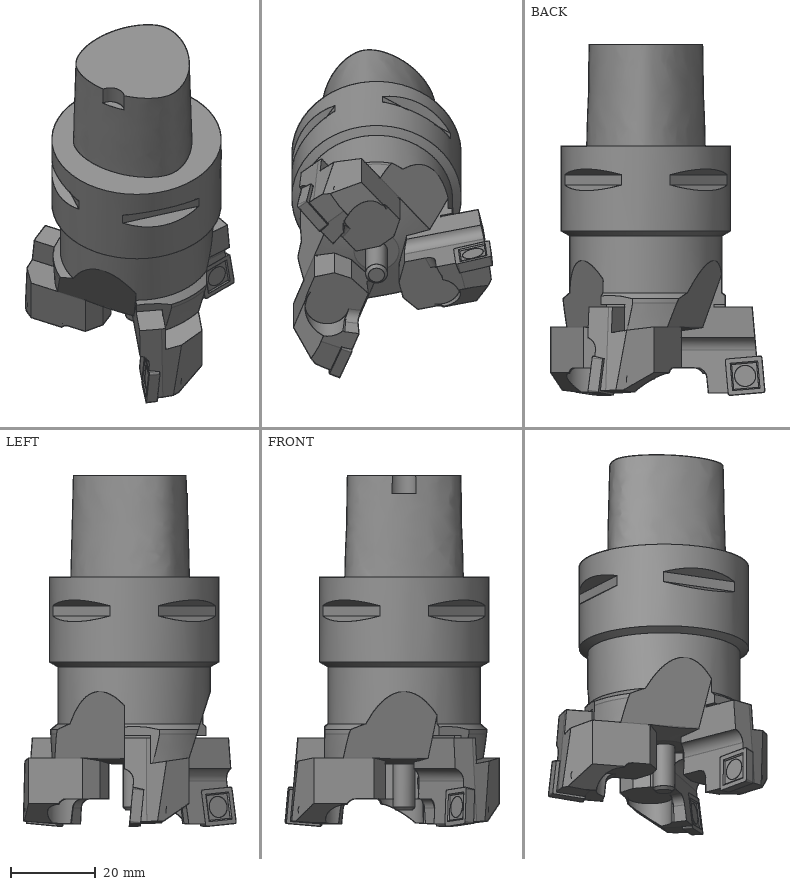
import cadquery as cq
import math


TOOTH_ANGLES = (63.0, 180.0, 303.0)

SHANK_LENGTH = 24.0
SHANK_MEAN_RADIUS = 14.0
LOBE_HEIGHT = 0.93
SHANK_TAPER = 1.0 / 40.0
LOBE_DIRECTION = 90.0
SHANK_CURVE_POINTS = 48
KEY_RADIUS = 3.3
KEY_HEIGHT = 4.3
KEY_AXIS_Y = -14.1

FLANGE_RADIUS = 20.0
FLANGE_LENGTH = 20.0
FLANGE_CONE_HEIGHT = 1.15
NECK_RADIUS = 18.0
HEAD_RADIUS = 19.7
HEAD_LOWER_RADIUS = 19.25
HEAD_CONE_TOP_Z = -34.6
HEAD_CONE_BOTTOM_Z = -36.0
HEAD_TAPER_TOP_Z = -37.0
HEAD_BOTTOM_Z = -44.05
HEAD_FLAT_RADIUS = 5.3
HEAD_DISH_RADIUS = 14.8
HEAD_DISH_Z = -42.65
PIN_RADIUS = 2.6
PIN_BOTTOM_Z = -55.0
PIN_CHAMFER = 0.7

GROOVE_ANGLES = (45.0, 135.0, 225.0, 315.0)
GROOVE_DEPTH = 2.4
GROOVE_MIDDLE_Z = -7.95
GROOVE_FLOOR_WIDTH = 2.4
GROOVE_MOUTH_WIDTH = 5.1

RAKE_Y = -2.3
BACK_Y = 13.0
BACK_CORNER_X = 21.3
FLANK_RUN_PER_RISE = 0.70
INNER_FRONT_X = 7.8
INNER_BACK_X = 7.1
INNER_FLAT_X = 4.4
INNER_FLAT_BACK_Y = 9.0
INNER_FLAT_FRONT_Y = 4.7
TOOTH_TOP_Z = -37.9
SHOULDER_Y = 3.85
SHELF_BACK_Z = HEAD_DISH_Z
SHELF_SLOPE = 0.145
SEAT_X = 18.75
SEAT_TOP_Z = HEAD_CONE_TOP_Z
SEAT_END_Y = 7.0
SLOT_BOTTOM_X = 16.0
SLOT_HEIGHT = 0.5
LEAD_ANGLE = 5.0
LEAD_TOP_X = 25.1
CLEARANCE_ANGLE = 6.6
CLEARANCE_START_Y = 2.9
GULLET_TOP_Z = -27.0
GULLET_RUN = NECK_RADIUS - BACK_Y
HEEL_Z = -53.4
HEEL_START_Y = 6.5
HEEL_START_Z = -57.9
TOOTH_BOTTOM_Z = -58.25
BOTTOM_BEND_X = 20.0
BOTTOM_TILT = 4.3
BOTTOM_RELIEF = 2.0

RELIEF_ROOF_Z = -52.35
RELIEF_START_Z = TOOTH_BOTTOM_Z - 1.0
RELIEF_FILLET = 2.4
RELIEF_DRAFT = 7.0
RELIEF_CENTER = (13.3, 7.5)
RELIEF_RADIUS = 5.2
RELIEF_WALL = (
    (13.7, -6.0), (15.6, 2.2), (14.3, 13.0), (14.3, 18.0),
)

AXIAL_RAKE = 5.5
INSERT_CENTER = (23.4, -0.7, -54.19)
INSERT_SIDE = 8.7
INSERT_THICKNESS = 2.6
INSERT_CLEARANCE = 7.0
INSERT_CORNER_RADIUS = 0.5
RECESS_SIDE = 6.5
RECESS_DEPTH = 0.3
RECESS_TAPER = 45.0
RAKE_FILLET_RADIUS = 3.0
RAKE_FILLET_Z = -48.1

SCREW_HEAD_RADIUS = 5.01 / 2
SCREW_HEAD_HEIGHT = 1.5
SCREW_SHANK_RADIUS = 3.2 / 2
SCREW_LENGTH = 8.0

REACH = 60.0


def turned(shape, angle):
    return shape.rotate((0, 0, 0), (0, 0, 1), angle)


def prism_along_x(points):
    """Extrude a (Y, Z) outline along X, well past the part on both sides."""
    return cq.Workplane("YZ").polyline(points).close().extrude(REACH, both=True)


def prism_along_y(points):
    """Extrude an (X, Z) outline along Y, well past the part on both sides."""
    return cq.Workplane("XZ").polyline(points).close().extrude(REACH, both=True)


def box_between(low, high):
    size = [b - a for a, b in zip(low, high)]
    return cq.Workplane("XY").box(*size, centered=False).translate(low)


def lobed_point(angle, inset):
    """Point of the three-lobed outline whose normal points at the given angle."""
    support = SHANK_MEAN_RADIUS - inset + LOBE_HEIGHT * math.cos(3 * angle)
    slope = -3 * LOBE_HEIGHT * math.sin(3 * angle)
    x = support * math.cos(angle) - slope * math.sin(angle)
    y = support * math.sin(angle) + slope * math.cos(angle)
    return x, y


def lobed_outline(inset):
    steps = range(SHANK_CURVE_POINTS)
    return [lobed_point(2 * math.pi * step / SHANK_CURVE_POINTS, inset) for step in steps]


def make_shank():
    base = lobed_outline(0)
    tip = lobed_outline(SHANK_TAPER * SHANK_LENGTH)
    shank = (
        cq.Workplane("XY").spline(base, periodic=True).close()
        .workplane(offset=SHANK_LENGTH).spline(tip, periodic=True).close()
        .loft(ruled=True)
    )
    key_slot = (
        cq.Workplane("XY", origin=(0, KEY_AXIS_Y, SHANK_LENGTH - KEY_HEIGHT))
        .circle(KEY_RADIUS).extrude(KEY_HEIGHT)
    )
    return turned(shank, LOBE_DIRECTION).cut(key_slot)


def make_turned_body():
    cone_bottom_z = -FLANGE_LENGTH - FLANGE_CONE_HEIGHT
    outline = [
        (0, 0),
        (FLANGE_RADIUS, 0),
        (FLANGE_RADIUS, -FLANGE_LENGTH),
        (NECK_RADIUS, cone_bottom_z),
        (NECK_RADIUS, HEAD_CONE_TOP_Z),
        (HEAD_RADIUS, HEAD_CONE_BOTTOM_Z),
        (HEAD_RADIUS, HEAD_TAPER_TOP_Z),
        (HEAD_LOWER_RADIUS, HEAD_BOTTOM_Z),
        (HEAD_DISH_RADIUS, HEAD_BOTTOM_Z),
        (HEAD_DISH_RADIUS, HEAD_DISH_Z),
        (HEAD_FLAT_RADIUS, HEAD_BOTTOM_Z),
        (PIN_RADIUS, HEAD_BOTTOM_Z),
        (PIN_RADIUS, PIN_BOTTOM_Z + PIN_CHAMFER),
        (PIN_RADIUS - PIN_CHAMFER, PIN_BOTTOM_Z),
        (0, PIN_BOTTOM_Z),
    ]
    return cq.Workplane("XZ").polyline(outline).close().revolve(360, (0, 0, 0), (0, 1, 0))


def make_groove():
    """Gripper groove with sloping sides, cut into the +X side of the flange."""
    floor_x = FLANGE_RADIUS - GROOVE_DEPTH
    outline = [
        (floor_x, GROOVE_MIDDLE_Z - GROOVE_FLOOR_WIDTH / 2),
        (FLANGE_RADIUS, GROOVE_MIDDLE_Z - GROOVE_MOUTH_WIDTH / 2),
        (FLANGE_RADIUS, GROOVE_MIDDLE_Z + GROOVE_MOUTH_WIDTH / 2),
        (floor_x, GROOVE_MIDDLE_Z + GROOVE_FLOOR_WIDTH / 2),
    ]
    return prism_along_y(outline)


def make_gullet(next_tooth_turn):
    """Sloping clearance behind a tooth, ending at the rake plane of the tooth counter-clockwise of it."""
    clearance = prism_along_x([
        (BACK_Y, -REACH),
        (BACK_Y, SHELF_BACK_Z),
        (BACK_Y + GULLET_RUN, GULLET_TOP_Z),
        (REACH, GULLET_TOP_Z),
        (REACH, -REACH),
    ])
    kept = box_between((-REACH, RAKE_Y, -2 * REACH), (REACH, 2 * REACH, REACH))
    return clearance.cut(turned(kept, next_tooth_turn))


def make_seat():
    return box_between((SEAT_X, RAKE_Y, HEAD_BOTTOM_Z), (REACH, SEAT_END_Y, SEAT_TOP_Z))


def make_slot():
    low = (SLOT_BOTTOM_X, RAKE_Y, TOOTH_TOP_Z)
    return box_between(low, (REACH, SHOULDER_Y, TOOTH_TOP_Z + SLOT_HEIGHT))


def make_tooth_blank():
    """Upright block with the plan outline of a tooth; its outer end is left long."""
    outer_x = BACK_CORNER_X + FLANK_RUN_PER_RISE * (BACK_Y - RAKE_Y)
    outline = [
        (INNER_FRONT_X, RAKE_Y),
        (outer_x, RAKE_Y),
        (BACK_CORNER_X, BACK_Y),
        (INNER_BACK_X, BACK_Y),
        (INNER_FLAT_X, INNER_FLAT_BACK_Y),
        (INNER_FLAT_X, INNER_FLAT_FRONT_Y),
    ]
    height = TOOTH_TOP_Z + REACH
    return cq.Workplane("XY", origin=(0, 0, -REACH)).polyline(outline).close().extrude(height)


def make_shelf_cut():
    shelf_front_z = SHELF_BACK_Z - SHELF_SLOPE * (BACK_Y - SHOULDER_Y)
    return prism_along_x([
        (SHOULDER_Y, shelf_front_z), (BACK_Y, SHELF_BACK_Z), (BACK_Y, 0), (SHOULDER_Y, 0),
    ])


def make_outer_cut():
    """Space outside the leaning outer face."""
    bottom_x = LEAD_TOP_X + (TOOTH_TOP_Z + REACH) * math.tan(math.radians(LEAD_ANGLE))
    return prism_along_y([
        (LEAD_TOP_X, TOOTH_TOP_Z), (REACH, TOOTH_TOP_Z), (REACH, -REACH), (bottom_x, -REACH),
    ])


def make_clearance_cut():
    """The outer face swung back behind the cutting edge."""
    pivot = (LEAD_TOP_X, CLEARANCE_START_Y)
    return make_outer_cut().rotate((*pivot, 0), (*pivot, 1), CLEARANCE_ANGLE)


def make_heel_cut():
    return prism_along_x([
        (HEEL_START_Y, HEEL_START_Z), (BACK_Y, HEEL_Z), (BACK_Y, -REACH), (HEEL_START_Y, -REACH),
    ])


def make_bottom_cut():
    rise = (REACH - BOTTOM_BEND_X) * math.tan(math.radians(BOTTOM_TILT))
    below = prism_along_y([
        (0, TOOTH_BOTTOM_Z),
        (BOTTOM_BEND_X, TOOTH_BOTTOM_Z),
        (REACH, TOOTH_BOTTOM_Z + rise),
        (REACH, -2 * REACH),
        (0, -2 * REACH),
    ])
    return below.rotate((0, 0, TOOTH_BOTTOM_Z), (1, 0, TOOTH_BOTTOM_Z), BOTTOM_RELIEF)


def make_relief():
    """Space under the inner end of the tooth: a milled round pocket open towards the axis."""
    depth = RELIEF_ROOF_Z - RELIEF_START_Z
    floor = cq.Workplane("XY", origin=(0, 0, RELIEF_START_Z))
    pocket = floor.center(*RELIEF_CENTER).circle(RELIEF_RADIUS).extrude(depth)
    inner_outline = [(-REACH, RELIEF_WALL[0][1]), *RELIEF_WALL, (-REACH, RELIEF_WALL[-1][1])]
    inner = floor.polyline(inner_outline).close().extrude(depth, taper=RELIEF_DRAFT)
    return inner.faces(">Z").edges().fillet(RELIEF_FILLET).union(pocket)


def rake_y(z):
    """Y of the inclined rake face at a given height."""
    _, center_y, center_z = INSERT_CENTER
    return center_y - (center_z - z) * math.tan(math.radians(AXIAL_RAKE))


def make_rake_cut():
    """Chip space ahead of the rake face, with a round root above it."""
    root_y = rake_y(RAKE_FILLET_Z)
    axis_y = root_y - RAKE_FILLET_RADIUS
    outline = (
        cq.Workplane("YZ")
        .moveTo(rake_y(-REACH), -REACH)
        .lineTo(root_y, RAKE_FILLET_Z)
        .radiusArc((axis_y, RAKE_FILLET_Z + RAKE_FILLET_RADIUS), -RAKE_FILLET_RADIUS)
        .lineTo(axis_y, -REACH)
        .close()
    )
    return outline.extrude(REACH)


def make_tooth():
    tooth = make_tooth_blank()
    cuts = (
        make_shelf_cut(), make_outer_cut(), make_clearance_cut(), make_heel_cut(),
        make_bottom_cut(), make_relief(), make_rake_cut(),
    )
    for cut in cuts:
        tooth = tooth.cut(cut)
    return tooth


def insert_plane(depth=0):
    """Plane on the rake face, normal out of the face; depth moves it into the insert."""
    rake = math.radians(AXIAL_RAKE)
    lead = math.radians(LEAD_ANGLE)
    across = cq.Vector(1, 0, 0)
    up = cq.Vector(0, math.sin(rake), math.cos(rake))
    normal = across.cross(up)
    origin = cq.Vector(*INSERT_CENTER) - normal * depth
    return cq.Plane(origin, across * math.cos(lead) + up * math.sin(lead), normal)


def make_insert_blank():
    return (
        cq.Workplane(insert_plane())
        .sketch().rect(INSERT_SIDE, INSERT_SIDE).vertices().fillet(INSERT_CORNER_RADIUS).finalize()
        .extrude(-INSERT_THICKNESS, taper=INSERT_CLEARANCE)
    )


def make_screw():
    head = cq.Workplane(insert_plane(RECESS_DEPTH)).circle(SCREW_HEAD_RADIUS).extrude(-SCREW_HEAD_HEIGHT)
    shank = cq.Workplane(insert_plane(RECESS_DEPTH)).circle(SCREW_SHANK_RADIUS).extrude(-SCREW_LENGTH)
    return head.union(shank)


def make_insert():
    recess = (
        cq.Workplane(insert_plane()).rect(RECESS_SIDE, RECESS_SIDE)
        .extrude(-RECESS_DEPTH, taper=RECESS_TAPER)
    )
    return make_insert_blank().cut(recess).cut(make_screw())


def make_body():
    body = make_turned_body()
    for angle in GROOVE_ANGLES:
        body = body.cut(turned(make_groove(), angle))
    for index, angle in enumerate(TOOTH_ANGLES):
        next_angle = TOOTH_ANGLES[(index + 1) % len(TOOTH_ANGLES)]
        body = body.cut(turned(make_gullet(next_angle - angle), angle))
        body = body.cut(turned(make_seat(), angle))
        body = body.cut(turned(make_slot(), angle))
    tooth = make_tooth().cut(make_insert_blank()).cut(make_screw())
    for angle in TOOTH_ANGLES:
        body = body.union(turned(tooth, angle))
    return body.union(make_shank())


body = make_body()
inserts = [turned(make_insert(), angle) for angle in TOOTH_ANGLES]
screws = [turned(make_screw(), angle) for angle in TOOTH_ANGLES]

bodies = [body, *inserts, *screws]
result = cq.Compound.makeCompound([part.solids().val() for part in bodies])